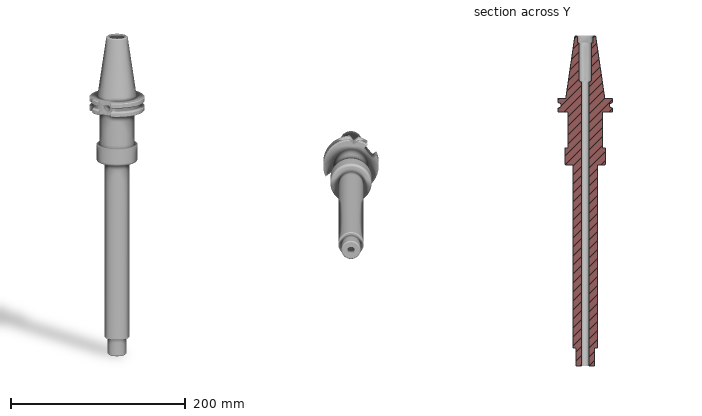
import cadquery as cq
import math

total_length = 377.8
tip_length = 20.5
collar_bottom = 229.5
collar_top = 249.7
flange_bottom = 290.5
flange_top = 306.7
gauge_level = 308.2

tip_diameter = 22.0
shank_diameter = 29.0
collar_diameter = 47.2
neck_diameter = 40.5
flange_diameter = 63.5
taper_large_diameter = 44.5
taper_slope = 7 / 24
taper_small_diameter = taper_large_diameter - taper_slope * (total_length - gauge_level)

tip_chamfer = 1.0
shank_chamfer = 0.8
collar_round = 3.0
rim_chamfer = 0.8
taper_chamfer = 0.8

groove_level = 298.5
groove_width = 6.8
groove_floor_diameter = 56.3
groove_floor_width = 3.5

slot_width = 16.2
front_slot_floor = 25.0
back_slot_floor = 21.0
slot_corner_radius = 1.0
notch_corner = 18.5

screw_diameter = 10.5
screw_socket_diameter = 8.3
screw_point_diameter = 6.0
screw_recess_depth = 0.8
screw_socket_depth = 2.3
drill_point_angle = 118.0

through_diameter = 8.3
thread_diameter = 14.0
thread_depth = 53.0
pilot_diameter = 17.0
pilot_depth = 8.0
mouth_chamfer = 1.0


def turned_body():
    """Solid of revolution, without bores or cuts."""
    tip_r = tip_diameter / 2
    shank_r = shank_diameter / 2
    collar_r = collar_diameter / 2
    neck_r = neck_diameter / 2
    flange_r = flange_diameter / 2
    large_r = taper_large_diameter / 2
    small_r = taper_small_diameter / 2
    floor_r = groove_floor_diameter / 2
    mouth_half = groove_width / 2
    floor_half = groove_floor_width / 2
    taper_edge_r = small_r + taper_slope / 2 * taper_chamfer
    arc_inset = collar_round * (1 - math.sqrt(0.5))
    lower_part = [
        (tip_r - tip_chamfer, 0),
        (tip_r, tip_chamfer),
        (tip_r, tip_length),
        (shank_r - shank_chamfer, tip_length),
        (shank_r, tip_length + shank_chamfer),
        (shank_r, collar_bottom),
        (collar_r - collar_round, collar_bottom),
    ]
    upper_part = [
        (collar_r, collar_top),
        (neck_r, collar_top),
        (neck_r, flange_bottom),
        (flange_r - rim_chamfer, flange_bottom),
        (flange_r, flange_bottom + rim_chamfer),
        (flange_r, groove_level - mouth_half),
        (floor_r, groove_level - floor_half),
        (floor_r, groove_level + floor_half),
        (flange_r, groove_level + mouth_half),
        (flange_r, flange_top - rim_chamfer),
        (flange_r - rim_chamfer, flange_top),
        (large_r, flange_top),
        (large_r, gauge_level),
        (taper_edge_r, total_length - taper_chamfer),
        (small_r - taper_chamfer, total_length),
        (0, total_length),
    ]
    profile = cq.Workplane("XZ").polyline([(0, 0)] + lower_part)
    profile = profile.threePointArc(
        (collar_r - arc_inset, collar_bottom + arc_inset),
        (collar_r, collar_bottom + collar_round),
    )
    for point in upper_part:
        profile = profile.lineTo(*point)
    return profile.close().revolve(360, (0, 0), (0, 1))


def flange_block(x_min, x_max, y_min, y_max):
    """Box as high as the flange, used to cut it."""
    height = flange_top - flange_bottom
    block = cq.Workplane("XY").box(x_max - x_min, y_max - y_min, height, centered=False)
    return block.translate((x_min, y_min, flange_bottom))


def flange_cuts():
    """Two drive slots of unequal depth and the corner notch."""
    half = slot_width / 2
    outside = flange_diameter
    front_slot = flange_block(-half, half, -outside, -front_slot_floor)
    back_slot = flange_block(-half, half, back_slot_floor, outside)
    front_slot = front_slot.edges("|Z and >Y").fillet(slot_corner_radius)
    back_slot = back_slot.edges("|Z and <Y").fillet(slot_corner_radius)
    notch = flange_block(-outside, -notch_corner, -outside, -notch_corner)
    return front_slot.union(back_slot).union(notch)


def point_depth(diameter):
    """Depth of the cone that a drill leaves at the end of a hole."""
    return diameter / 2 / math.tan(math.radians(drill_point_angle / 2))


def screw_hole():
    """Stepped hole running inward from the floor of the front slot to a drill point."""
    bottom = screw_socket_depth + point_depth(screw_point_diameter)
    profile = [
        (0, 0),
        (screw_diameter / 2, 0),
        (screw_diameter / 2, screw_recess_depth),
        (screw_socket_diameter / 2, screw_recess_depth),
        (screw_socket_diameter / 2, screw_socket_depth),
        (screw_point_diameter / 2, screw_socket_depth),
        (0, bottom),
    ]
    hole = cq.Workplane("XY").polyline(profile).close().revolve(360, (0, 0), (0, 1))
    return hole.translate((0, -front_slot_floor, groove_level))


def axial_bores():
    """Through bore, wider drawbar thread bore, and a pilot with a chamfered mouth."""
    through_r = through_diameter / 2
    thread_r = thread_diameter / 2
    pilot_r = pilot_diameter / 2
    thread_point = point_depth(thread_diameter) - point_depth(through_diameter)
    profile = [
        (0, 0),
        (through_r, 0),
        (through_r, total_length - thread_depth),
        (thread_r, total_length - thread_depth + thread_point),
        (thread_r, total_length - pilot_depth),
        (pilot_r, total_length - pilot_depth),
        (pilot_r, total_length - mouth_chamfer),
        (pilot_r + mouth_chamfer, total_length),
        (0, total_length),
    ]
    return cq.Workplane("XZ").polyline(profile).close().revolve(360, (0, 0), (0, 1))


result = turned_body().cut(flange_cuts()).cut(screw_hole()).cut(axial_bores())